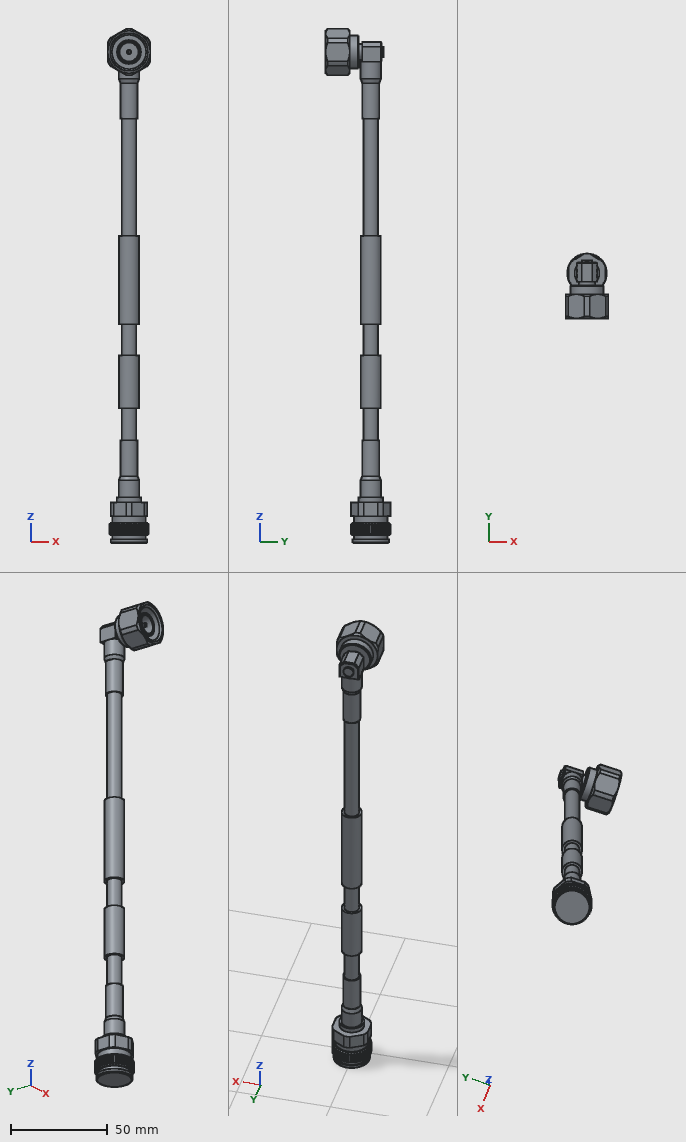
import cadquery as cq
import math


total_height = 265.31
total_depth = 33.55
elbow_nut_turned_radius = 12.0
elbow_axis_z = total_height - elbow_nut_turned_radius

cable_radius = 3.85

sleeve_radius = 5.2
long_sleeve_bottom = 112.9
long_sleeve_length = 45.6
short_sleeve_bottom = 69.5
short_sleeve_length = 27.4

boot_radius = 4.5
boot_length = 18.4
ferrule_radius = 5.3
ferrule_taper_length = 2.2

rim_radius = 9.45
rim_height = 2.1
rim_chamfer = 0.6
barrel_radius = 8.7
knurl_bottom = 4.0
knurl_top = 10.5
knurl_radius = 10.2
knurl_chamfer = 0.9
knurl_groove_count = 40
knurl_groove_depth = 0.5
knurl_groove_width = 0.8
hex_bottom = 14.0
hex_top = 21.1
hex_across_flats = 19.0
hex_turned_radius = knurl_radius
collar_radius = 6.4
collar_top = 23.6
straight_ferrule_top = 32.4
straight_boot_bottom = straight_ferrule_top + ferrule_taper_length
straight_boot_top = straight_boot_bottom + boot_length

block_width = 10.4
block_top_z = elbow_axis_z + 5.2
block_bottom_z = elbow_axis_z - 5.0
block_back_y = 5.7
block_front_y = -4.4
block_top_chamfer = 2.4
block_back_chamfer = 0.6
cap_radius = 2.7
cap_height = 1.0
elbow_ferrule_bottom = 239.5
elbow_boot_top = elbow_ferrule_bottom - ferrule_taper_length
elbow_boot_bottom = elbow_boot_top - boot_length
neck_radius = 4.2
shoulder_back_y = -6.2
shoulder_radius = 8.6
shoulder_chamfer = 0.6
nut_front_y = knurl_radius - total_depth
nut_length = 12.6
nut_back_y = nut_front_y + nut_length
nut_across_flats = 22.0
nut_end_chamfer = 1.1
nut_bore_radius = 8.8
nut_bore_depth = 8.0
nut_bore_chamfer = 1.0
contact_outer_radius = 6.2
contact_inner_radius = 4.9
contact_length = 6.0
contact_chamfer = 0.4
pin_radius = 1.1
pin_tip_chamfer = 0.4
pin_length = 5.0


def rod(radius, bottom, top):
    """Cylinder on the cable axis."""
    return cq.Workplane("XY").workplane(offset=bottom).circle(radius).extrude(top - bottom)


def cross_rod(radius, front, back):
    """Cylinder on the elbow axis, which is parallel to Y."""
    plane = cq.Plane(origin=(0, back, elbow_axis_z), xDir=(1, 0, 0), normal=(0, -1, 0))
    return cq.Workplane(plane).circle(radius).extrude(back - front)


def hexagon(workplane, across_flats, length):
    """Hexagonal prism with flats facing +X and -X."""
    corner_diameter = across_flats / math.cos(math.pi / 6)
    return workplane.transformed(rotate=(0, 0, 90)).polygon(6, corner_diameter).extrude(length)


def tapered_ferrule(wide_end, narrow_end, boot_end):
    """Cone that narrows from the ferrule to the boot, followed by the boot."""
    profile = [
        (0, wide_end),
        (ferrule_radius, wide_end),
        (boot_radius, narrow_end),
        (boot_radius, boot_end),
        (0, boot_end),
    ]
    return cq.Workplane("XZ").polyline(profile).close().revolve(360, (0, 0, 0), (0, 1, 0))


def make_cable():
    """Plain round cable that ends where each boot meets its ferrule taper."""
    return rod(cable_radius, straight_boot_bottom, elbow_boot_top)


def make_sleeve(bottom, length):
    """Marker sleeve with a bore that fits the cable."""
    return rod(sleeve_radius, bottom, bottom + length).cut(rod(cable_radius, bottom, bottom + length))


def make_knurled_grip():
    """Grip ring with V-shaped grooves parallel to its axis."""
    grip = rod(knurl_radius, knurl_bottom, knurl_top).edges().chamfer(knurl_chamfer)
    half_width = knurl_groove_width / 2
    groove_outline = [
        (knurl_radius - knurl_groove_depth, 0),
        (knurl_radius, half_width),
        (knurl_radius + half_width, 0),
        (knurl_radius, -half_width),
    ]
    groove = (
        cq.Workplane("XY")
        .workplane(offset=knurl_bottom)
        .polyline(groove_outline)
        .close()
        .extrude(knurl_top - knurl_bottom)
        .val()
    )
    step = 360 / knurl_groove_count
    grooves = [groove.rotate((0, 0, 0), (0, 0, 1), (i + 0.5) * step) for i in range(knurl_groove_count)]
    return grip.cut(cq.Workplane(cq.Compound.makeCompound(grooves)))


def make_straight_connector():
    """Turned connector with a rim, knurled grip, wrench hexagon, ferrule and boot."""
    body = rod(rim_radius, 0, rim_height).faces("<Z").edges().chamfer(rim_chamfer)
    body = body.union(rod(barrel_radius, 0, hex_bottom))
    body = body.union(make_knurled_grip())
    hex_base = cq.Workplane("XY").workplane(offset=hex_bottom)
    wrench_hexagon = hexagon(hex_base, hex_across_flats, hex_top - hex_bottom)
    body = body.union(wrench_hexagon.intersect(rod(hex_turned_radius, hex_bottom, hex_top)))
    body = body.union(rod(collar_radius, hex_top, collar_top))
    body = body.union(rod(ferrule_radius, collar_top, straight_ferrule_top))
    body = body.union(tapered_ferrule(straight_ferrule_top, straight_boot_bottom, straight_boot_top))
    return body.cut(rod(cable_radius, straight_boot_bottom, straight_boot_top))


def make_elbow_block():
    """Right-angle block with a sloped top and a round cap on its back."""
    depth = block_back_y - block_front_y
    height = block_top_z - block_bottom_z
    block = (
        cq.Workplane("XY")
        .box(block_width, depth, height, centered=(True, False, False))
        .translate((0, block_front_y, block_bottom_z))
    )
    block = block.faces(">Z").edges("|Y").chamfer(block_top_chamfer)
    block = block.faces(">Y").edges().chamfer(block_back_chamfer)
    return block.union(cross_rod(cap_radius, block_back_y, block_back_y + cap_height))


def make_coupling_nut():
    """Nut with an open bore that holds a chamfered contact ring and a centre pin."""
    plane = cq.Plane(origin=(0, nut_back_y, elbow_axis_z), xDir=(1, 0, 0), normal=(0, -1, 0))
    turned_blank = cross_rod(elbow_nut_turned_radius, nut_front_y, nut_back_y)
    turned_blank = turned_blank.edges().chamfer(nut_end_chamfer)
    nut = hexagon(cq.Workplane(plane), nut_across_flats, nut_length).intersect(turned_blank)
    floor_y = nut_front_y + nut_bore_depth
    nut = nut.cut(cross_rod(nut_bore_radius, nut_front_y, floor_y))
    bore_rim = nut.faces("<Y").edges("%CIRCLE").edges(cq.selectors.RadiusNthSelector(0))
    nut = bore_rim.chamfer(nut_bore_chamfer)

    contact_front = floor_y - contact_length
    ring = cross_rod(contact_outer_radius, contact_front, floor_y)
    ring = ring.cut(cross_rod(contact_inner_radius, contact_front, floor_y))
    ring = ring.faces("<Y").edges().chamfer(contact_chamfer)
    pin = cross_rod(pin_radius, floor_y - pin_length, floor_y).faces("<Y").edges().chamfer(pin_tip_chamfer)
    return nut.union(ring).union(pin)


def make_elbow_connector():
    """Elbow whose boot hangs down the cable and whose coupling nut faces -Y."""
    body = make_elbow_block()
    body = body.union(rod(ferrule_radius, elbow_ferrule_bottom, block_bottom_z))
    body = body.union(tapered_ferrule(elbow_ferrule_bottom, elbow_boot_top, elbow_boot_bottom))
    body = body.union(cross_rod(neck_radius, shoulder_back_y, block_front_y))
    shoulder = cross_rod(shoulder_radius, nut_back_y, shoulder_back_y)
    body = body.union(shoulder.faces(">Y").edges().chamfer(shoulder_chamfer))
    body = body.union(make_coupling_nut())
    return body.cut(rod(cable_radius, elbow_boot_bottom, elbow_boot_top))


cable = make_cable()
long_sleeve = make_sleeve(long_sleeve_bottom, long_sleeve_length)
short_sleeve = make_sleeve(short_sleeve_bottom, short_sleeve_length)
straight_connector = make_straight_connector()
elbow_connector = make_elbow_connector()

result = cq.Compound.makeCompound(
    [
        cable.val(),
        long_sleeve.val(),
        short_sleeve.val(),
        straight_connector.val(),
        elbow_connector.val(),
    ]
)